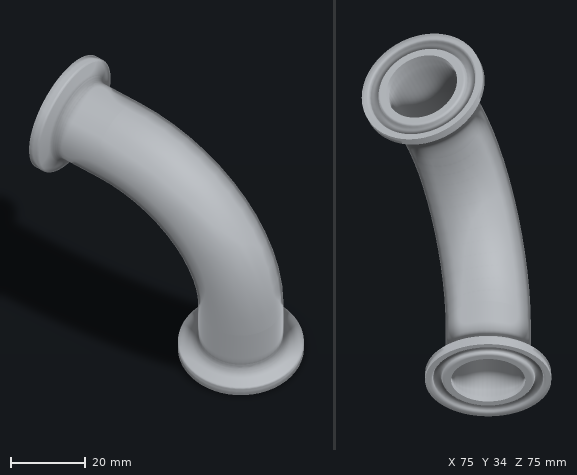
import cadquery as cq
import math


TUBE_OD = 23.0
TUBE_ID = 20.0
BEND_RADIUS = 40.0

FERRULE_LENGTH = 18.0
FLANGE_DIAMETER = 34.0
RIM_THICKNESS = 2.85
CLAMP_ANGLE = 20.0
RIM_FILLET = 0.7
NECK_FILLET = 2.0

GROOVE_MEAN_DIAMETER = 27.4
GROOVE_BOTTOM_RADIUS = 1.2
GROOVE_LIP_RADIUS = 0.8
GROOVE_FLANK_LENGTH = 0.4
GROOVE_FLANK_ANGLE = 75.0

tube_outer_radius = TUBE_OD / 2
tube_inner_radius = TUBE_ID / 2
flange_radius = FLANGE_DIAMETER / 2
end_distance = BEND_RADIUS + FERRULE_LENGTH
neck_start = RIM_THICKNESS + (flange_radius - tube_outer_radius) * math.tan(math.radians(CLAMP_ANGLE))


def make_bend():
    """Quarter-turn tube from the horizontal end to the vertical end."""
    return (
        cq.Workplane("YZ", origin=(-BEND_RADIUS, 0, 0))
        .circle(tube_outer_radius)
        .circle(tube_inner_radius)
        .revolve(90, (-1, -BEND_RADIUS, 0), (1, -BEND_RADIUS, 0))
    )


def make_gasket_groove():
    """Ring to cut from a ferrule face at x = 0, revolved about the X axis."""

    def arc_offset(radius, degrees):
        """Sideways run and depth change along an arc that starts level with the face."""
        angle = math.radians(degrees)
        return radius * math.sin(angle), radius * (1 - math.cos(angle))

    flank_angle = math.radians(GROOVE_FLANK_ANGLE)
    flank_run = GROOVE_FLANK_LENGTH * math.cos(flank_angle)
    flank_drop = GROOVE_FLANK_LENGTH * math.sin(flank_angle)
    lip_run, lip_drop = arc_offset(GROOVE_LIP_RADIUS, GROOVE_FLANK_ANGLE)
    lip_mid_run, lip_mid_drop = arc_offset(GROOVE_LIP_RADIUS, GROOVE_FLANK_ANGLE / 2)
    bottom_run, bottom_rise = arc_offset(GROOVE_BOTTOM_RADIUS, GROOVE_FLANK_ANGLE)

    mean_radius = GROOVE_MEAN_DIAMETER / 2
    half_width = lip_run + flank_run + bottom_run
    inner_radius = mean_radius - half_width
    outer_radius = mean_radius + half_width
    bottom_start = lip_drop + flank_drop
    depth = bottom_start + bottom_rise

    return (
        cq.Workplane("XY")
        .moveTo(0, inner_radius)
        .threePointArc((lip_mid_drop, inner_radius + lip_mid_run), (lip_drop, inner_radius + lip_run))
        .lineTo(bottom_start, mean_radius - bottom_run)
        .threePointArc((depth, mean_radius), (bottom_start, mean_radius + bottom_run))
        .lineTo(lip_drop, outer_radius - lip_run)
        .threePointArc((lip_mid_drop, outer_radius - lip_mid_run), (0, outer_radius))
        .close()
        .revolve(360, (0, 0, 0), (1, 0, 0))
    )


def make_ferrule():
    """Clamp ferrule along +X with its gasket face at x = 0."""
    outline = [
        (0, tube_inner_radius),
        (0, flange_radius),
        (RIM_THICKNESS, flange_radius),
        (neck_start, tube_outer_radius),
        (FERRULE_LENGTH, tube_outer_radius),
        (FERRULE_LENGTH, tube_inner_radius),
    ]
    body = cq.Workplane("XY").polyline(outline).close().revolve(360, (0, 0, 0), (1, 0, 0))

    def edge_at(x, radius):
        """Circular edge picked by its place along X and its radius."""
        return next(
            edge for edge in body.edges("%CIRCLE").vals()
            if math.isclose(edge.Center().x, x, abs_tol=1e-3)
            and math.isclose(edge.radius(), radius, abs_tol=1e-3)
        )

    rim_edge = edge_at(RIM_THICKNESS, flange_radius)
    body = body.newObject([rim_edge]).fillet(RIM_FILLET)
    neck_edge = edge_at(neck_start, tube_outer_radius)
    body = body.newObject([neck_edge]).fillet(NECK_FILLET)
    return body.cut(make_gasket_groove())


bend = make_bend()

ferrules = []
for swing in (0, -90):
    ferrule = make_ferrule().translate((-end_distance, 0, 0))
    ferrules.append(ferrule.rotate((0, 0, 0), (0, 1, 0), swing))

result = cq.Compound.makeCompound([bend.val(), *[ferrule.val() for ferrule in ferrules]])